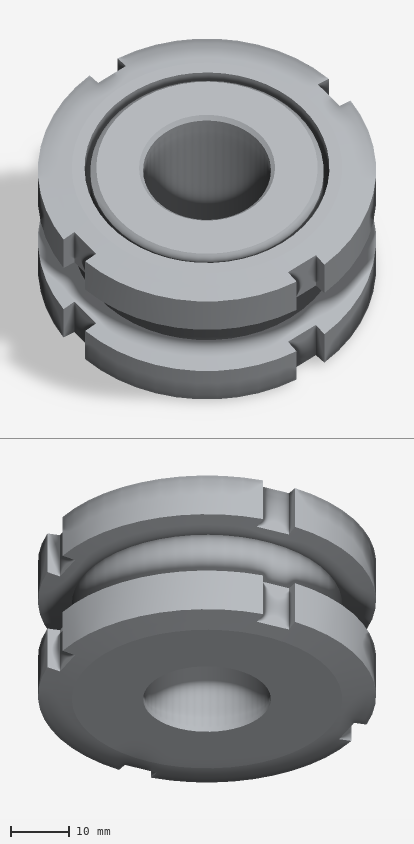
import cadquery as cq
import math

overall_width = 57.7
overall_height = 28.0

flange_height = 9.0
flange_face_radius = 23.2
rim_bevel_height = 0.65
slot_width = 6.05
slot_floor_radius = 26.5
slot_count = 4
flange_radius = math.hypot(overall_width / 2, slot_width / 2)

stud_radius = 20.0
stud_chamfer = 1.05
bore_radius = 10.95
bore_chamfer = 0.7

collar_bore_radius = 21.0
neck_radius = flange_face_radius
neck_chamfer = 0.65
collar_height = overall_height - flange_height


def cylinder(radius, height, bottom=0.0):
    return cq.Workplane("XY", origin=(0, 0, bottom)).circle(radius).extrude(height)


def make_flange(bottom):
    """Solid disc with shallow cones at both faces and slots around the rim."""
    top = bottom + flange_height
    disc = (
        cq.Workplane("XZ")
        .moveTo(0, bottom)
        .lineTo(flange_face_radius, bottom)
        .lineTo(flange_radius, bottom + rim_bevel_height)
        .lineTo(flange_radius, top - rim_bevel_height)
        .lineTo(flange_face_radius, top)
        .lineTo(0, top)
        .close()
        .revolve(360, (0, 0, 0), (0, 1, 0))
    )
    slot_length = flange_radius - slot_floor_radius
    slots = (
        cq.Workplane("XY", origin=(0, 0, bottom))
        .polarArray(slot_floor_radius + slot_length / 2, 0, 360, slot_count)
        .rect(slot_length, slot_width)
        .extrude(flange_height)
    )
    return disc.cut(slots)


def make_base():
    """Lower flange and chamfered stud, bored through."""
    stud = (
        cylinder(stud_radius, overall_height)
        .faces(">Z")
        .chamfer(stud_chamfer)
    )
    bored = make_flange(0.0).union(stud).cut(cylinder(bore_radius, overall_height))
    return bored.faces(">Z").edges("%CIRCLE").edges(cq.selectors.RadiusNthSelector(0)).chamfer(bore_chamfer)


def make_collar():
    """Upper flange and neck, with a clearance bore around the stud."""
    neck = cylinder(neck_radius, collar_height, flange_height).faces("<Z").chamfer(neck_chamfer)
    flange = make_flange(overall_height - flange_height)
    return flange.union(neck).cut(cylinder(collar_bore_radius, collar_height, flange_height))


base = make_base()
collar = make_collar()

result = cq.Compound.makeCompound([base.val(), collar.val()])